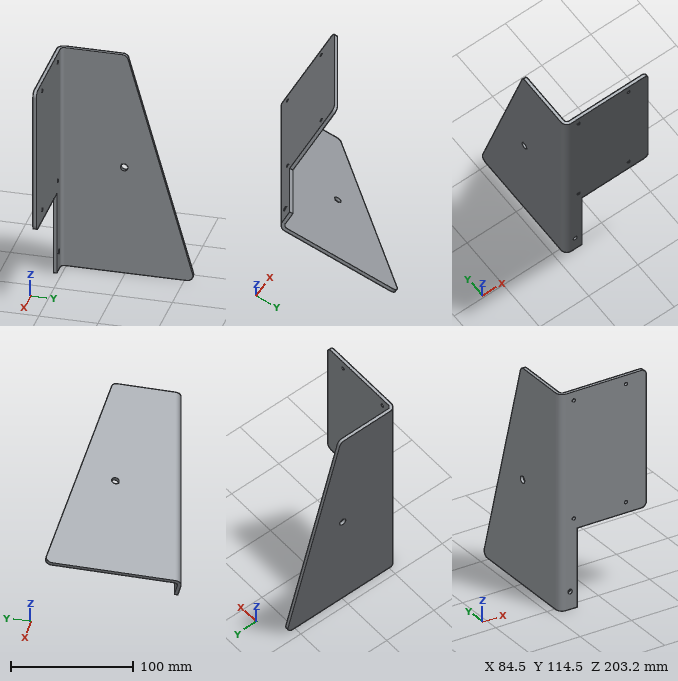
import cadquery as cq
import math

width = 84.5
depth = 114.5
height = 203.2

thickness = 3.0
bend_radius = 6.0
inner_bend_radius = bend_radius - thickness
corner_radius = 5.0

panel_bottom = 74.2
tab_width = 17.3
panel_hole_diameter = 2.8
panel_hole_x = (13.8, 64.6)
panel_hole_z = (84.1, 194.9)
tab_hole_diameter = 4.0
tab_hole_x = 10.2
tab_hole_z = 16.7

side_lean = math.radians(15.8)
side_hole_diameter = 6.3
side_hole_y = 56.3
side_hole_z = 98.3

half_corner_angle = (math.pi / 2 - side_lean) / 2
side_bottom_depth = depth - corner_radius + corner_radius / math.tan(half_corner_angle)
side_top_depth = side_bottom_depth - height * math.tan(side_lean)


def make_angle():
    """Full-height bent sheet with an L-shaped cross-section."""
    return (
        cq.Workplane("XY")
        .moveTo(bend_radius, 0)
        .lineTo(width, 0)
        .lineTo(width, thickness)
        .lineTo(bend_radius, thickness)
        .radiusArc((thickness, bend_radius), inner_bend_radius)
        .lineTo(thickness, side_bottom_depth)
        .lineTo(0, side_bottom_depth)
        .lineTo(0, bend_radius)
        .radiusArc((bend_radius, 0), -bend_radius)
        .close()
        .extrude(height)
    )


def make_front_envelope():
    """Front flange outline, extended through the full depth."""
    return (
        cq.Workplane("XZ")
        .polyline([
            (0, 0),
            (tab_width, 0),
            (tab_width, panel_bottom),
            (width, panel_bottom),
            (width, height),
            (0, height),
        ])
        .close()
        .extrude(-side_bottom_depth)
        .edges("|Y and >X")
        .fillet(corner_radius)
    )


def make_side_envelope():
    """Side flange outline, extended through the full width."""
    return (
        cq.Workplane("YZ")
        .polyline([
            (0, 0),
            (side_bottom_depth, 0),
            (side_top_depth, height),
            (0, height),
        ])
        .close()
        .extrude(width)
        .faces(">Y")
        .edges("|X")
        .fillet(corner_radius)
    )


def make_front_holes():
    """Cutters for the four panel holes and the tab hole."""
    panel_points = [(x, z) for x in panel_hole_x for z in panel_hole_z]
    panel_holes = (
        cq.Workplane("XZ")
        .pushPoints(panel_points)
        .circle(panel_hole_diameter / 2)
        .extrude(-thickness)
    )
    tab_hole = (
        cq.Workplane("XZ")
        .center(tab_hole_x, tab_hole_z)
        .circle(tab_hole_diameter / 2)
        .extrude(-thickness)
    )
    return panel_holes.union(tab_hole)


def make_side_hole():
    """Cutter for the single hole in the side flange."""
    return (
        cq.Workplane("YZ")
        .center(side_hole_y, side_hole_z)
        .circle(side_hole_diameter / 2)
        .extrude(thickness)
    )


result = (
    make_angle()
    .intersect(make_front_envelope())
    .intersect(make_side_envelope())
    .cut(make_front_holes())
    .cut(make_side_hole())
)